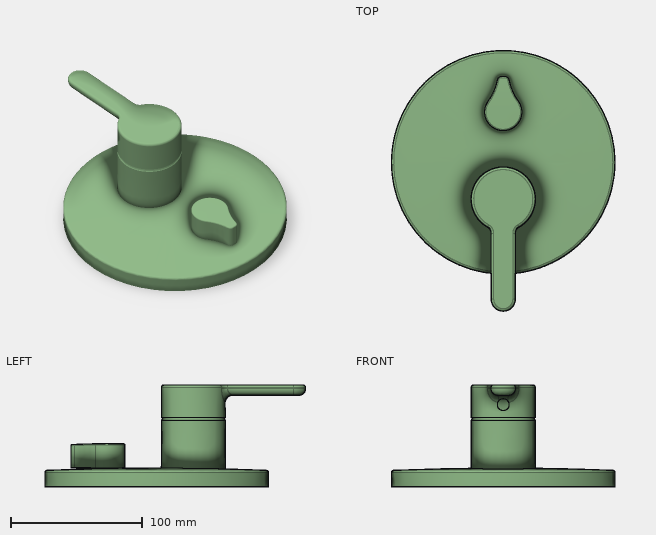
import math

import cadquery as cq

PLATE_RADIUS = 85.0
PLATE_RIM_FILLET = 1.8
PLATE_RIM_HEIGHT = 12.6
PLATE_CROWN_HEIGHT = 14.4

TOP_HEIGHT = 77.52
BASE_BOTTOM_RADIUS = 24.55
BASE_TOP_RADIUS = 24.45
HEAD_RADIUS = 24.45
BODY_Y = -28.0
GROOVE_TOP = 52.7
GROOVE_WIDTH = 1.9
GROOVE_DEPTH = 1.0
GROOVE_LIP_HEIGHT = 0.5
GROOVE_LIP_DEPTH = 0.3
TOP_FILLET = 2.0

LEVER_TIP_Y = -113.25
LEVER_WIDTH = 18.5
LEVER_THICKNESS = 7.9
LEVER_UNDERSIDE_FILLET = 5.0
LEVER_ROOT_FILLET = 5.3

MARKER_RADIUS = 4.5
MARKER_HEIGHT = 62.5
MARKER_DEPTH = 0.5
MARKER_CUT_LENGTH = 1.5

KNOB_RADIUS = 14.15
KNOB_Y = 38.2
KNOB_TIP_Y = 65.2
KNOB_TIP_HALF_WIDTH = 4.0
KNOB_TIP_FILLET = 3.2
KNOB_FLANK_ANGLE = math.radians(36)
KNOB_BOTTOM = 14.4
KNOB_TOP = 33.0
KNOB_TOP_FILLET = 1.0
KNOB_CROWN_RADIUS = 450.0
STEM_RADIUS = 12.0

MARGIN = 0.1


def make_plate():
    crown_rise = PLATE_CROWN_HEIGHT - PLATE_RIM_HEIGHT
    dome_radius = (PLATE_RADIUS**2 + crown_rise**2) / (2 * crown_rise)
    middle_r = PLATE_RADIUS / 2
    middle_z = PLATE_CROWN_HEIGHT - dome_radius + math.sqrt(dome_radius**2 - middle_r**2)
    profile = (
        cq.Workplane("XZ")
        .lineTo(PLATE_RADIUS, 0)
        .lineTo(PLATE_RADIUS, PLATE_RIM_HEIGHT)
        .threePointArc((middle_r, middle_z), (0, PLATE_CROWN_HEIGHT))
        .close()
    )
    plate = profile.revolve(360, (0, 0, 0), (0, 1, 0))
    rim = cq.selectors.BoxSelector(
        (-2 * PLATE_RADIUS, -2 * PLATE_RADIUS, PLATE_RIM_HEIGHT - MARGIN),
        (2 * PLATE_RADIUS, 2 * PLATE_RADIUS, PLATE_RIM_HEIGHT + MARGIN),
        boundingbox=True,
    )
    return plate.edges(rim).fillet(PLATE_RIM_FILLET)


def make_lever():
    half_width = LEVER_WIDTH / 2
    end_y = LEVER_TIP_Y + half_width
    outline = (
        cq.Workplane("XY", origin=(0, 0, TOP_HEIGHT - LEVER_THICKNESS))
        .moveTo(-half_width, BODY_Y)
        .lineTo(-half_width, end_y)
        .threePointArc((0, LEVER_TIP_Y), (half_width, end_y))
        .lineTo(half_width, BODY_Y)
        .close()
    )
    lever = outline.extrude(LEVER_THICKNESS)
    return lever.faces("<Z").edges("not >Y").fillet(LEVER_UNDERSIDE_FILLET)


def make_head_and_lever():
    head = (
        cq.Workplane("XY", origin=(0, BODY_Y, GROOVE_TOP))
        .circle(HEAD_RADIUS)
        .extrude(TOP_HEIGHT - GROOVE_TOP)
    )
    head = head.union(make_lever())
    half_root = LEVER_WIDTH / 2 + MARGIN
    root = cq.selectors.BoxSelector(
        (-half_root, BODY_Y - HEAD_RADIUS - MARGIN, TOP_HEIGHT - LEVER_THICKNESS - MARGIN),
        (half_root, BODY_Y, TOP_HEIGHT + MARGIN),
        boundingbox=True,
    )
    head = head.edges(root).fillet(LEVER_ROOT_FILLET)
    return head.faces(">Z").edges().fillet(TOP_FILLET)


def make_base():
    groove_bottom = GROOVE_TOP - GROOVE_WIDTH
    profile = (
        cq.Workplane("XZ")
        .lineTo(BASE_BOTTOM_RADIUS, 0)
        .lineTo(BASE_TOP_RADIUS, groove_bottom - GROOVE_LIP_HEIGHT)
        .lineTo(BASE_TOP_RADIUS - GROOVE_LIP_DEPTH, groove_bottom)
        .lineTo(BASE_TOP_RADIUS - GROOVE_DEPTH, GROOVE_TOP)
        .lineTo(0, GROOVE_TOP)
        .close()
    )
    return profile.revolve(360, (0, 0, 0), (0, 1, 0)).translate((0, BODY_Y, 0))


def make_marker_cutter():
    front_y = BODY_Y - HEAD_RADIUS
    floor_plane = cq.Workplane("XZ", origin=(0, front_y + MARKER_DEPTH, MARKER_HEIGHT))
    return floor_plane.circle(MARKER_RADIUS).extrude(MARKER_CUT_LENGTH)


def make_knob():
    flank_x = KNOB_RADIUS * math.cos(KNOB_FLANK_ANGLE)
    flank_y = KNOB_Y + KNOB_RADIUS * math.sin(KNOB_FLANK_ANGLE)
    flank_slope_x = -math.sin(KNOB_FLANK_ANGLE)
    flank_slope_y = math.cos(KNOB_FLANK_ANGLE)

    def flank(side):
        return cq.Edge.makeTangentArc(
            cq.Vector(side * flank_x, flank_y, KNOB_BOTTOM),
            cq.Vector(side * flank_slope_x, flank_slope_y, 0),
            cq.Vector(side * KNOB_TIP_HALF_WIDTH, KNOB_TIP_Y, KNOB_BOTTOM),
        )

    round_end = cq.Edge.makeThreePointArc(
        cq.Vector(-flank_x, flank_y, KNOB_BOTTOM),
        cq.Vector(0, KNOB_Y - KNOB_RADIUS, KNOB_BOTTOM),
        cq.Vector(flank_x, flank_y, KNOB_BOTTOM),
    )
    tip = cq.Edge.makeLine(
        cq.Vector(KNOB_TIP_HALF_WIDTH, KNOB_TIP_Y, KNOB_BOTTOM),
        cq.Vector(-KNOB_TIP_HALF_WIDTH, KNOB_TIP_Y, KNOB_BOTTOM),
    )
    outline = cq.Wire.assembleEdges([round_end, flank(1), tip, flank(-1)])
    knob = cq.Workplane("XY").add(outline).toPending().extrude(KNOB_TOP - KNOB_BOTTOM)
    knob = knob.faces(">Y").edges("|Z").fillet(KNOB_TIP_FILLET)
    crown_center = (0, KNOB_Y, KNOB_TOP - KNOB_CROWN_RADIUS)
    crown = cq.Workplane("XY", origin=crown_center).sphere(KNOB_CROWN_RADIUS)
    knob = knob.intersect(crown)
    knob = knob.faces(">Z").edges().fillet(KNOB_TOP_FILLET)
    stem = cq.Workplane("XY").center(0, KNOB_Y).circle(STEM_RADIUS).extrude(KNOB_BOTTOM)
    return knob.union(stem)


head = make_head_and_lever().cut(make_marker_cutter())
result = make_plate().union(make_base()).union(head).union(make_knob())